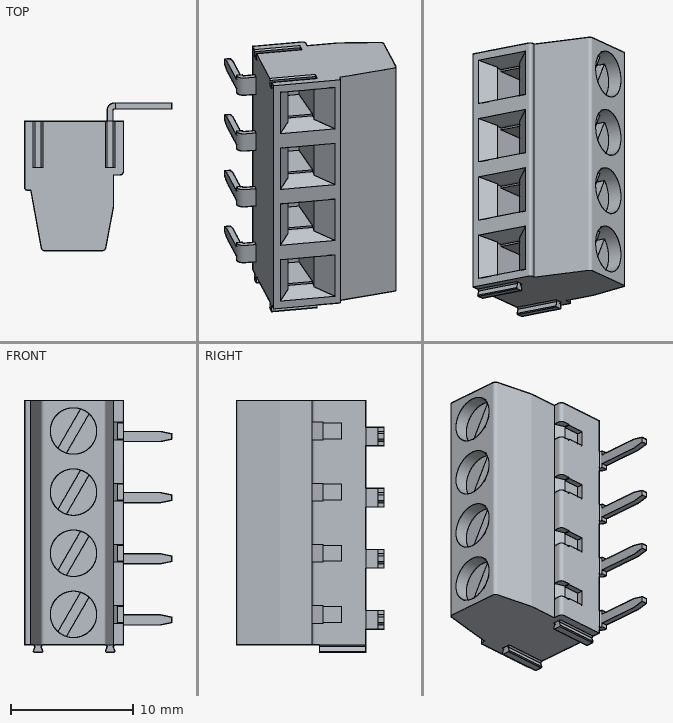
import cadquery as cq
import math


POLES = 4
PITCH = 5.0
HEIGHT = POLES * PITCH

BASE_WIDTH = 8.1
HOUSING_DEPTH = 10.6
LEFT_STEP_DEPTH = 5.65
LEFT_STEP_WIDTH = 0.5
RIGHT_STEP_DEPTH = 4.4
RIGHT_STEP_WIDTH = 0.82
RIGHT_TAPER_START = 7.0
NOSE_LEFT = 1.4
NOSE_RIGHT = 6.6
NOSE_FILLET = 0.3
LEFT_STEP_FILLET = 0.22
RIGHT_STEP_FILLET = 0.3

RAIL_CENTRES = (1.1, 7.0)
RAIL_LENGTH = 3.8
RAIL_HEIGHT = 0.6
RAIL_HALF_WIDTH = 0.4
RAIL_NECK_HALF_WIDTH = 0.25
RAIL_NECK_HEIGHT = 0.12
RAIL_TIP_CHAMFER = 0.08

ENTRY_BACK = -0.56
ENTRY_FRONT = -5.14
ENTRY_HEIGHT = 3.7
THROAT_BACK = -1.5
THROAT_FRONT = -3.68
THROAT_HEIGHT = 2.76
THROAT_START = 1.34
THROAT_NARROWED = 1.58
CLAMP_START = 1.92
CLAMP_END = 6.0
CLAMP_BACK = -1.57
CLAMP_FRONT = -3.43
CLAMP_HEIGHT = 2.45

SCREW_X = 4.0
SCREW_DIAMETER = 3.8
SCREW_RECESS = 1.2
SLOT_WIDTH = 0.8
SLOT_DEPTH = 0.8
SLOT_ANGLE = 60.0

NOTCH_HEIGHT = 1.45
NOTCH_RAMP_DEPTH = 0.9
NOTCH_POCKET_DEPTH = 2.4
NOTCH_POCKET_WIDTH = 0.5
NOTCH_POCKET_HEIGHT = 1.3

PIN_OFFSET = -0.45
PIN_THICKNESS = 0.5
PIN_LEFT = 6.75
PIN_BACK = 1.5
PIN_END = 12.05
PIN_EMBED = 1.0
PIN_BEND_RADIUS = 0.6
LEAD_WIDTH = 1.55
BLADE_START = 7.45
BLADE_WIDTH = 0.85
TIP_LENGTH = 0.95
TIP_WIDTH = 0.45

POLE_CENTRES = [PITCH * (i + 0.5) for i in range(POLES)]


def make_housing():
    """Extrude the housing outline over all poles and round its long edges."""
    ledge_x = BASE_WIDTH - RIGHT_STEP_WIDTH
    outline = [
        (0, 0),
        (0, -LEFT_STEP_DEPTH),
        (LEFT_STEP_WIDTH, -LEFT_STEP_DEPTH),
        (NOSE_LEFT, -HOUSING_DEPTH),
        (NOSE_RIGHT, -HOUSING_DEPTH),
        (ledge_x, -RIGHT_TAPER_START),
        (ledge_x, -RIGHT_STEP_DEPTH),
        (BASE_WIDTH, -RIGHT_STEP_DEPTH),
        (BASE_WIDTH, 0),
    ]
    body = cq.Workplane("XY").polyline(outline).close().extrude(HEIGHT)
    rounded_edges = [
        (0, -LEFT_STEP_DEPTH, LEFT_STEP_FILLET),
        (NOSE_LEFT, -HOUSING_DEPTH, NOSE_FILLET),
        (NOSE_RIGHT, -HOUSING_DEPTH, NOSE_FILLET),
        (BASE_WIDTH, -RIGHT_STEP_DEPTH, RIGHT_STEP_FILLET),
    ]
    for x, y, radius in rounded_edges:
        edge_finder = cq.selectors.NearestToPointSelector((x, y, HEIGHT / 2))
        body = body.edges("|Z").edges(edge_finder).fillet(radius)
    return body


def make_rail(centre_x, root_z):
    """Waisted rail running forward from the back face and hanging below root_z."""
    half_profile = [
        (RAIL_HALF_WIDTH, 0),
        (RAIL_NECK_HALF_WIDTH, RAIL_NECK_HEIGHT),
        (RAIL_HALF_WIDTH, RAIL_HEIGHT - RAIL_TIP_CHAMFER),
        (RAIL_HALF_WIDTH - RAIL_TIP_CHAMFER, RAIL_HEIGHT),
    ]
    right_side = [(centre_x + half, root_z - drop) for half, drop in half_profile]
    left_side = [(centre_x - half, root_z - drop) for half, drop in reversed(half_profile)]
    return cq.Workplane("XZ").polyline(right_side + left_side).close().extrude(RAIL_LENGTH)


def make_wire_entry(centre_z):
    """Funnel, throat and clamp opening: a plan profile crossed with a side profile."""
    plan = (
        cq.Workplane("XY")
        .polyline([
            (0, ENTRY_BACK),
            (THROAT_START, THROAT_BACK),
            (CLAMP_START, THROAT_BACK),
            (CLAMP_END, CLAMP_BACK),
            (CLAMP_END, CLAMP_FRONT),
            (CLAMP_START, THROAT_FRONT),
            (THROAT_START, THROAT_FRONT),
            (0, ENTRY_FRONT),
        ])
        .close()
        .extrude(HEIGHT)
    )
    upper_side = [
        (0, centre_z + ENTRY_HEIGHT / 2),
        (THROAT_NARROWED, centre_z + THROAT_HEIGHT / 2),
        (CLAMP_START, centre_z + THROAT_HEIGHT / 2),
        (CLAMP_START, centre_z + CLAMP_HEIGHT / 2),
        (CLAMP_END, centre_z + CLAMP_HEIGHT / 2),
    ]
    lower_side = [(x, 2 * centre_z - z) for x, z in reversed(upper_side)]
    side = cq.Workplane("XZ").polyline(upper_side + lower_side).close().extrude(HOUSING_DEPTH)
    return plan.intersect(side)


def make_screw_recess(centre_z):
    """Round recess down to the screw head, plus the slot cut in the head."""
    head_y = SCREW_RECESS - HOUSING_DEPTH
    head_plane = cq.Workplane("XZ", origin=(SCREW_X, head_y, centre_z))
    recess = head_plane.circle(SCREW_DIAMETER / 2).extrude(SCREW_RECESS)
    slot = (
        head_plane.transformed(rotate=(0, 0, SLOT_ANGLE))
        .rect(SCREW_DIAMETER, SLOT_WIDTH)
        .extrude(-SLOT_DEPTH)
    )
    head = head_plane.circle(SCREW_DIAMETER / 2).extrude(-SLOT_DEPTH)
    return recess.union(slot.intersect(head))


def make_ledge_notch(centre_z):
    """Ramped notch in the front face of the right-hand ledge, with a deeper outer pocket."""
    ledge_x = BASE_WIDTH - RIGHT_STEP_WIDTH
    pocket_x = BASE_WIDTH - NOTCH_POCKET_WIDTH
    ramp_end_y = NOTCH_RAMP_DEPTH - RIGHT_STEP_DEPTH
    ramp = (
        cq.Workplane("XY", origin=(0, 0, centre_z))
        .polyline([
            (ledge_x, -RIGHT_STEP_DEPTH),
            (pocket_x, ramp_end_y),
            (BASE_WIDTH, ramp_end_y),
            (BASE_WIDTH, -RIGHT_STEP_DEPTH),
        ])
        .close()
        .extrude(NOTCH_HEIGHT / 2, both=True)
    )
    pocket = (
        cq.Workplane("XZ", origin=(pocket_x + NOTCH_POCKET_WIDTH / 2, -RIGHT_STEP_DEPTH, centre_z))
        .rect(NOTCH_POCKET_WIDTH, NOTCH_POCKET_HEIGHT)
        .extrude(-NOTCH_POCKET_DEPTH)
    )
    return ramp.union(pocket)


def make_pin(centre_z):
    """Flat pin bent from +Y to +X: a bent strip trimmed to the lead and blade outline."""
    inner_x = PIN_LEFT + PIN_THICKNESS
    inner_y = PIN_BACK - PIN_THICKNESS
    bend_x = PIN_LEFT + PIN_BEND_RADIUS
    bend_y = PIN_BACK - PIN_BEND_RADIUS
    diagonal = PIN_BEND_RADIUS * math.sqrt(0.5)
    inner_radius = PIN_BEND_RADIUS - PIN_THICKNESS
    inner_diagonal = inner_radius * math.sqrt(0.5)
    strip = (
        cq.Workplane("XY", origin=(0, 0, centre_z))
        .moveTo(PIN_LEFT, -PIN_EMBED)
        .lineTo(PIN_LEFT, bend_y)
        .threePointArc((bend_x - diagonal, bend_y + diagonal), (bend_x, PIN_BACK))
        .lineTo(PIN_END, PIN_BACK)
        .lineTo(PIN_END, inner_y)
        .lineTo(bend_x, inner_y)
        .threePointArc((bend_x - inner_diagonal, bend_y + inner_diagonal), (inner_x, bend_y))
        .lineTo(inner_x, -PIN_EMBED)
        .close()
        .extrude(LEAD_WIDTH / 2, both=True)
    )
    upper_edge = [
        (PIN_LEFT, LEAD_WIDTH / 2),
        (BLADE_START, LEAD_WIDTH / 2),
        (BLADE_START, BLADE_WIDTH / 2),
        (PIN_END - TIP_LENGTH, BLADE_WIDTH / 2),
        (PIN_END, TIP_WIDTH / 2),
    ]
    lower_edge = [(x, -z) for x, z in reversed(upper_edge)]
    width_outline = (
        cq.Workplane("XZ", origin=(0, PIN_BACK, centre_z))
        .polyline(upper_edge + lower_edge)
        .close()
        .extrude(PIN_BACK + PIN_EMBED)
    )
    return strip.intersect(width_outline)


result = make_housing()

for rail_x in RAIL_CENTRES:
    result = result.cut(make_rail(rail_x, HEIGHT))

for pole_z in POLE_CENTRES:
    result = result.cut(make_wire_entry(pole_z))
    result = result.cut(make_screw_recess(pole_z))
    result = result.cut(make_ledge_notch(pole_z))

for rail_x in RAIL_CENTRES:
    result = result.union(make_rail(rail_x, 0))

for pole_z in POLE_CENTRES:
    result = result.union(make_pin(pole_z + PIN_OFFSET))